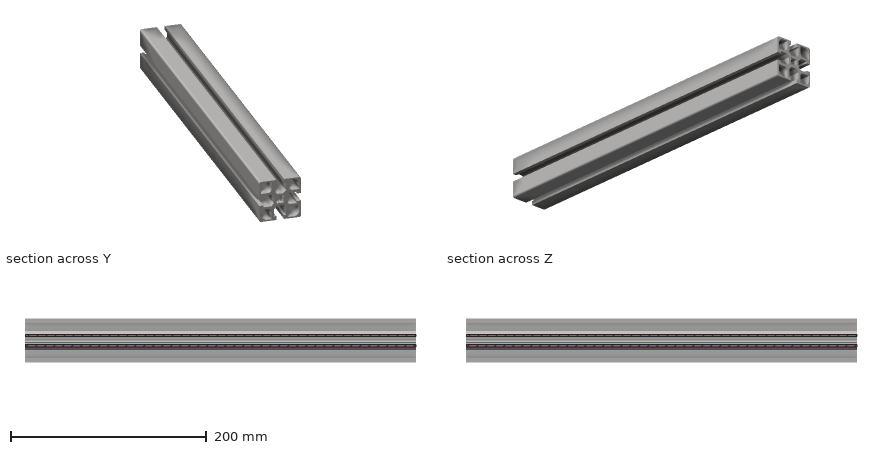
import cadquery as cq

LENGTH = 400.0
WIDTH = 45.0
CORNER_RADIUS = 2.2

SLOT_OPENING = 8.5
LIP_DEPTH = 4.5
CAVITY_WIDTH = 13.0
CORE_WIDTH = 13.0
CORE_FLAT = 7.0

SKIN_THICKNESS = 1.5
CHAMBER_WALL = 2.6
CHAMBER_OUTER_RADIUS = 6.5
CHAMBER_INNER_RADIUS = 4.5

BORE_RADIUS = 3.8
GROOVE_RADIUS = 1.0
GROOVE_OFFSET = 3.0

HALF_WIDTH = WIDTH / 2
DIAGONALS = [(1, 1), (-1, 1), (-1, -1), (1, -1)]


def end_face():
    """Sketch plane at X = 0 with local x along Y and local y along Z."""
    return cq.Workplane("YZ")


def t_slot():
    """Cutter for the slot in the +Z side; its bottom corners slope along the diagonal webs."""
    half_opening = SLOT_OPENING / 2
    half_cavity = CAVITY_WIDTH / 2
    half_flat = CORE_FLAT / 2
    lip_bottom = HALF_WIDTH - LIP_DEPTH
    slot_bottom = CORE_WIDTH / 2
    slope_top = slot_bottom + half_cavity - half_flat
    right_side = [
        (half_opening, HALF_WIDTH),
        (half_opening, lip_bottom),
        (half_cavity, lip_bottom),
        (half_cavity, slope_top),
        (half_flat, slot_bottom),
    ]
    left_side = [(-y, z) for y, z in reversed(right_side)]
    return end_face().polyline(right_side + left_side).close().extrude(LENGTH)


def corner_chamber():
    """Cutter for the hollow in the +Y +Z corner, rounded most at its outermost edge."""
    inner = CAVITY_WIDTH / 2 + CHAMBER_WALL
    outer = HALF_WIDTH - SKIN_THICKNESS
    centre = (inner + outer) / 2
    size = outer - inner
    chamber = end_face().center(centre, centre).rect(size, size).extrude(LENGTH)
    chamber = chamber.edges("|X").edges(">(0, 1, 1)").fillet(CHAMBER_OUTER_RADIUS)
    return chamber.edges("|X").edges("<(0, 1, 1)").fillet(CHAMBER_INNER_RADIUS)


def centre_bore():
    """Cutter for the round bore and its four diagonal grooves."""
    groove_centres = [(y * GROOVE_OFFSET, z * GROOVE_OFFSET) for y, z in DIAGONALS]
    grooves = end_face().pushPoints(groove_centres).circle(GROOVE_RADIUS).extrude(LENGTH)
    return end_face().circle(BORE_RADIUS).extrude(LENGTH).union(grooves)


bar = end_face().rect(WIDTH, WIDTH).extrude(LENGTH).edges("|X").fillet(CORNER_RADIUS)
bar = bar.cut(centre_bore())
for angle in (0, 90, 180, 270):
    bar = bar.cut(t_slot().rotate((0, 0, 0), (1, 0, 0), angle))
    bar = bar.cut(corner_chamber().rotate((0, 0, 0), (1, 0, 0), angle))

result = bar.translate((-LENGTH / 2, 0, 0))